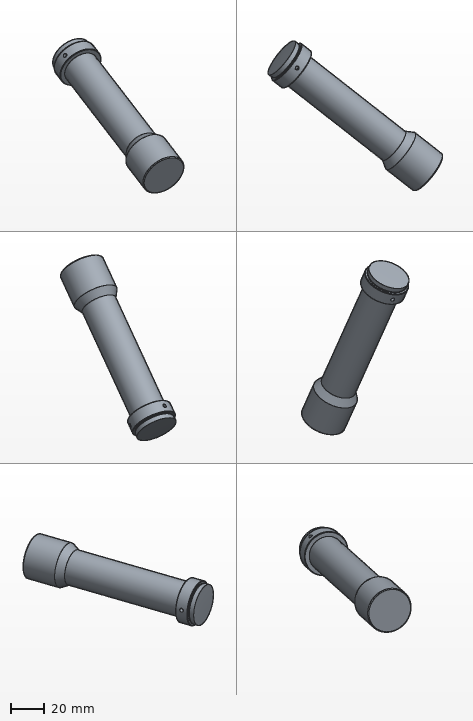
import cadquery as cq
import math

length = 115.1
head_diameter = 28.0
tube_diameter = 22.0
tube_end = 88.3
head_start = 93.5
head_chamfer = 0.6

flange_diameter = 25.5
flange_end = 3.3
neck_diameter = 24.8

collar_diameter = head_diameter
collar_start = 3.9
collar_width = 8.1
collar_chamfer = 0.3
hole_count = 3
hole_diameter = 2.3
hole_depth = 2.9
first_hole_angle = 128.0

lens_diameter = 22.0
lens_height = 0.2


def disc(start, end, diameter):
    """Cylinder on the X axis between two stations."""
    return cq.Workplane("YZ", origin=(start, 0, 0)).circle(diameter / 2).extrude(end - start)


def make_tube_and_head():
    tube_radius = tube_diameter / 2
    head_radius = head_diameter / 2
    outline = [
        (lens_height, 0),
        (lens_height, tube_radius),
        (tube_end, tube_radius),
        (head_start, head_radius),
        (length - head_chamfer, head_radius),
        (length, head_radius - head_chamfer),
        (length, 0),
    ]
    return cq.Workplane("XY").polyline(outline).close().revolve(360, (0, 0, 0), (1, 0, 0))


def make_collar():
    collar = disc(collar_start, collar_start + collar_width, collar_diameter)
    return collar.faces("<X or >X").chamfer(collar_chamfer)


def make_screw_hole(angle):
    """Blind radial hole at mid-width of the collar."""
    direction = cq.Vector(0, math.cos(math.radians(angle)), math.sin(math.radians(angle)))
    bottom = direction * (collar_diameter / 2 - hole_depth)
    bottom += cq.Vector(collar_start + collar_width / 2, 0, 0)
    return cq.Solid.makeCylinder(hole_diameter / 2, 2 * hole_depth, bottom, direction)


def make_front_lens():
    """Spherical cap bulging forward from the flange face, its apex on the X axis."""
    rim_radius = lens_diameter / 2
    sphere_radius = (rim_radius**2 + lens_height**2) / (2 * lens_height)
    half_angle = math.asin(rim_radius / sphere_radius) / 2
    arc_middle = (sphere_radius * (1 - math.cos(half_angle)), sphere_radius * math.sin(half_angle))
    profile = (
        cq.Workplane("XY")
        .threePointArc(arc_middle, (lens_height, rim_radius))
        .lineTo(flange_end, rim_radius)
        .lineTo(flange_end, 0)
        .close()
    )
    return profile.revolve(360, (0, 0, 0), (1, 0, 0))


result = make_tube_and_head()
result = result.union(disc(lens_height, flange_end, flange_diameter))
result = result.union(disc(lens_height, collar_start, neck_diameter))
result = result.union(make_collar())
result = result.union(make_front_lens())

for index in range(hole_count):
    result = result.cut(make_screw_hole(first_hole_angle + index * 360 / hole_count))